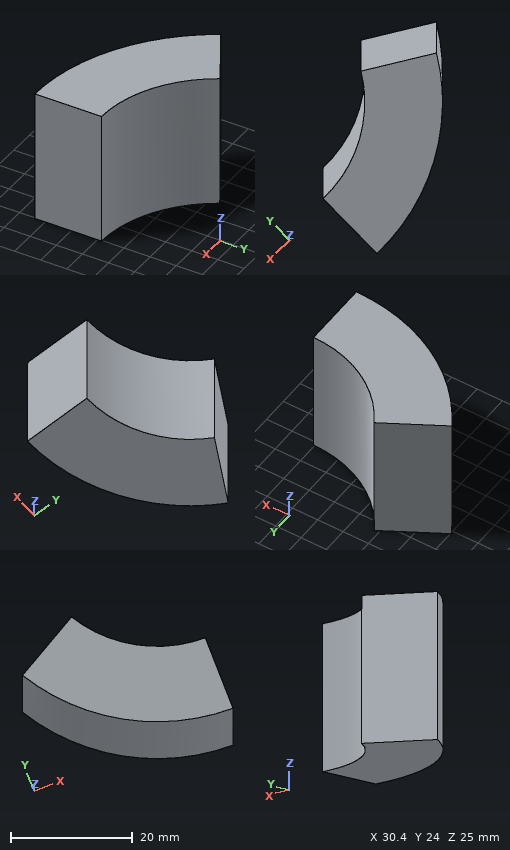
import cadquery as cq
import math

length_x = 30.45
width_y = 24.0
height = 25.0
sweep_angle = 60.0

sweep = math.radians(sweep_angle)
outer_radius = length_x / math.sin(sweep)
inner_radius = (outer_radius - width_y) / math.cos(sweep)


def arc_point(radius, angle):
    """Point about the Z axis, with the angle turned from -Y toward -X."""
    return (-radius * math.sin(angle), -radius * math.cos(angle))


result = (
    cq.Workplane("XY")
    .moveTo(*arc_point(outer_radius, 0))
    .threePointArc(arc_point(outer_radius, sweep / 2), arc_point(outer_radius, sweep))
    .lineTo(*arc_point(inner_radius, sweep))
    .threePointArc(arc_point(inner_radius, sweep / 2), arc_point(inner_radius, 0))
    .close()
    .extrude(height)
)